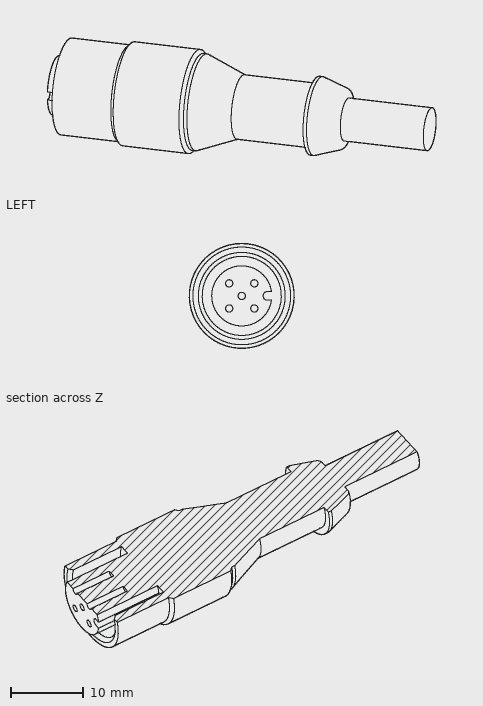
import cadquery as cq

collar_start = 1.5
grip_start = 10.0
grip_end = 20.0
cone_start = 21.0
sleeve_start = 26.7
barb_start = 37.4
barb_taper_start = 37.9
barb_end = 42.0
cable_end = 54.0

insert_diameter = 8.3
collar_diameter = 13.5
grip_diameter = 14.5
sleeve_diameter = 9.0
barb_diameter = 11.0
barb_end_diameter = 8.3
cable_diameter = 6.0
barb_fillet = 0.8

socket_diameter = 10.92
socket_mouth_diameter = 12.0
socket_depth = 8.5

contact_diameter = 1.0
contact_circle_diameter = 4.9
contact_depth = 6.0
contact_count = 4
contact_start_angle = 45
keyway_width = 1.2
keyway_floor = 2.95


def make_body():
    """Collar, grip, tapered neck and sleeve, revolved about X."""
    collar_radius = collar_diameter / 2
    grip_radius = grip_diameter / 2
    grip_chamfer = grip_radius - collar_radius
    sleeve_radius = sleeve_diameter / 2
    profile = (
        cq.Workplane("XZ")
        .moveTo(collar_start, 0)
        .lineTo(collar_start, collar_radius)
        .lineTo(grip_start, collar_radius)
        .lineTo(grip_start + grip_chamfer, grip_radius)
        .lineTo(grip_end, grip_radius)
        .lineTo(grip_end + grip_chamfer, collar_radius)
        .lineTo(cone_start, collar_radius)
        .lineTo(sleeve_start, sleeve_radius)
        .lineTo(barb_start, sleeve_radius)
        .lineTo(barb_start, 0)
        .close()
    )
    return profile.revolve(360, (0, 0, 0), (1, 0, 0))


def make_barb():
    """Strain-relief barb: a short rim, a taper and a rounded end."""
    rim_radius = barb_diameter / 2
    barb = (
        cq.Workplane("XZ")
        .moveTo(barb_start, 0)
        .lineTo(barb_start, rim_radius)
        .lineTo(barb_taper_start, rim_radius)
        .lineTo(barb_end, barb_end_diameter / 2)
        .lineTo(barb_end, 0)
        .close()
        .revolve(360, (0, 0, 0), (1, 0, 0))
    )
    return barb.faces(">X").edges().fillet(barb_fillet)


def rod(start, end, diameter):
    """Round rod along X between two stations."""
    return cq.Workplane("YZ", origin=(start, 0, 0)).circle(diameter / 2).extrude(end - start)


def make_socket():
    """Blind bore of the collar with a 45 degree lead-in at its mouth."""
    socket_radius = socket_diameter / 2
    mouth_radius = socket_mouth_diameter / 2
    lead_in = mouth_radius - socket_radius
    socket_floor = collar_start + socket_depth
    profile = (
        cq.Workplane("XZ")
        .moveTo(collar_start, 0)
        .lineTo(collar_start, mouth_radius)
        .lineTo(collar_start + lead_in, socket_radius)
        .lineTo(socket_floor, socket_radius)
        .lineTo(socket_floor, 0)
        .close()
    )
    return profile.revolve(360, (0, 0, 0), (1, 0, 0))


def make_contact_holes():
    """Centre contact hole and a ring of four around it."""
    ring_radius = contact_circle_diameter / 2
    ring = cq.Workplane("YZ").polarArray(ring_radius, contact_start_angle, 360, contact_count)
    holes = ring.circle(contact_diameter / 2).extrude(contact_depth)
    return holes.union(rod(0, contact_depth, contact_diameter))


def make_keyway():
    """Round-bottomed key slot on the -Y side of the insert, down to the socket floor."""
    length = collar_start + socket_depth
    slot_radius = keyway_width / 2
    slot_centre = keyway_floor + slot_radius
    slot_mouth = insert_diameter / 2 + slot_radius
    channel = (
        cq.Workplane("YZ")
        .moveTo(-slot_mouth, slot_radius)
        .lineTo(-slot_centre, slot_radius)
        .threePointArc((-keyway_floor, 0), (-slot_centre, -slot_radius))
        .lineTo(-slot_mouth, -slot_radius)
        .close()
    )
    return channel.extrude(length)


insert = rod(0, collar_start + socket_depth, insert_diameter)
insert = insert.cut(make_keyway()).cut(make_contact_holes())

result = make_body().cut(make_socket()).union(insert)
result = result.union(make_barb()).union(rod(barb_end, cable_end, cable_diameter))